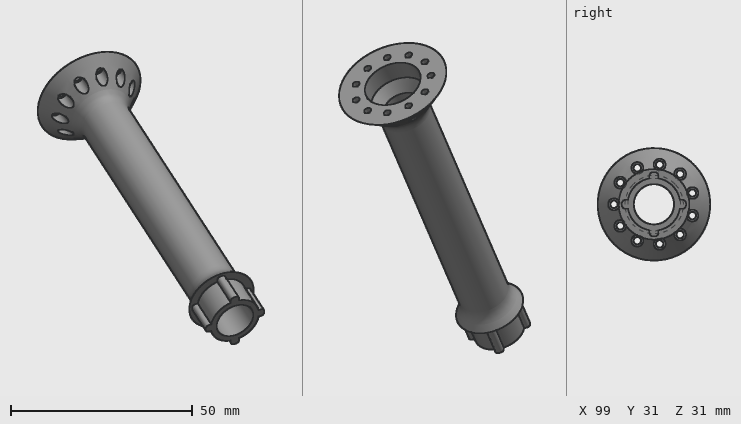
import cadquery as cq
import math

length = 99.0
tube_radius = 14.5 / 2
bore_radius = 11.0 / 2

flange_radius = 31.0 / 2
flange_cone_length = 9.6
flange_blend_radius = 5.8

collar_radius = 9.7
collar_start = 86.1
collar_end = 89.8
collar_blend_radius = 6.5

plug_radius = tube_radius
key_count = 4
key_width = 2.5
key_edge_radius = 1.0
key_tip_radius = 8.8

mouth_radius = 16.0 / 2
mouth_depth = 5.9
mouth_taper_length = 3.5

screw_count = 11
screw_circle_radius = 11.0
screw_radius = 2.0 / 2
screw_head_radius = 3.3 / 2
screw_seat = 2.0
first_screw_angle = 180.0


def blend_points(corner_x, cone_angle, blend_radius, cone_side):
    """Cone tangent point, arc midpoint and tube tangent point of a blend.

    cone_side is -1 when the cone lies on the -X side of the corner, +1 otherwise.
    """
    tangent_length = blend_radius * math.tan(cone_angle / 2)
    tube_x = corner_x - cone_side * tangent_length
    center_radius = tube_radius + blend_radius

    def arc_point(angle):
        along = tube_x + cone_side * blend_radius * math.sin(angle)
        return along, center_radius - blend_radius * math.cos(angle)

    return arc_point(cone_angle), arc_point(cone_angle / 2), arc_point(0)


def make_body():
    """Solid of revolution for the flange, tube, collar and plug."""
    flange_angle = math.atan2(flange_radius - tube_radius, flange_cone_length)
    collar_angle = math.atan2(collar_radius - tube_radius, collar_end - collar_start)
    flange_cone, flange_mid, flange_tube = blend_points(
        flange_cone_length, flange_angle, flange_blend_radius, -1
    )
    collar_cone, collar_mid, collar_tube = blend_points(
        collar_start, collar_angle, collar_blend_radius, 1
    )
    profile = (
        cq.Workplane("XY")
        .moveTo(0, 0)
        .lineTo(0, flange_radius)
        .lineTo(*flange_cone)
        .threePointArc(flange_mid, flange_tube)
        .lineTo(*collar_tube)
        .threePointArc(collar_mid, collar_cone)
        .lineTo(collar_end, collar_radius)
        .lineTo(collar_end, plug_radius)
        .lineTo(length, plug_radius)
        .lineTo(length, 0)
        .close()
    )
    return profile.revolve(360, (0, 0, 0), (1, 0, 0))


def make_keys():
    """Keys along the plug at +Y, +Z, -Y and -Z, with both outer edges rounded."""
    root_radius = (bore_radius + plug_radius) / 2
    key = (
        cq.Workplane("XY")
        .box(
            length - collar_end,
            key_width,
            key_tip_radius - root_radius,
            centered=(False, True, False),
        )
        .translate((collar_end, 0, root_radius))
        .edges("|X and >Z")
        .fillet(key_edge_radius)
    )
    keys = cq.Workplane("XY")
    for index in range(key_count):
        keys = keys.add(key.rotate((0, 0, 0), (1, 0, 0), index * 360 / key_count))
    return keys.combine()


def make_bore():
    """Through bore with a cylindrical mouth that tapers down to it."""
    taper_end = mouth_depth + mouth_taper_length
    profile = (
        cq.Workplane("XY")
        .moveTo(0, 0)
        .lineTo(0, mouth_radius)
        .lineTo(mouth_depth, mouth_radius)
        .lineTo(taper_end, bore_radius)
        .lineTo(length, bore_radius)
        .lineTo(length, 0)
        .close()
    )
    return profile.revolve(360, (0, 0, 0), (1, 0, 0))


def make_screw_holes(start, end, radius):
    """Ring of axial cylinders between two positions along X."""
    return (
        cq.Workplane("YZ", origin=(start, 0, 0))
        .polarArray(screw_circle_radius, first_screw_angle, 360, screw_count)
        .circle(radius)
        .extrude(end - start)
    )


result = (
    make_body()
    .union(make_keys())
    .cut(make_bore())
    .cut(make_screw_holes(0, flange_cone_length, screw_radius))
    .cut(make_screw_holes(screw_seat, flange_cone_length, screw_head_radius))
)